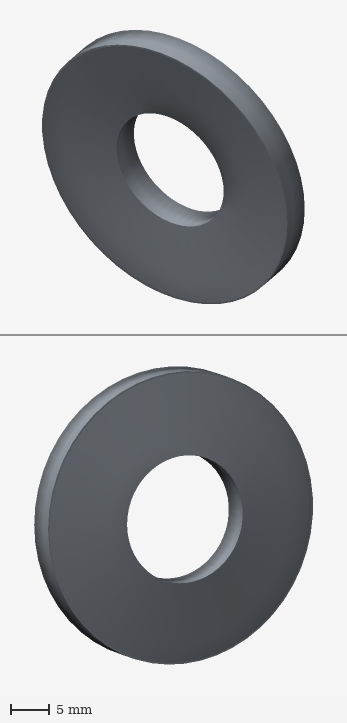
import cadquery as cq

outer_diameter = 39.0
hole_diameter = 17.0
overall_height = 5.25
thickness = 4.0
seat_width = 0.25

outer_radius = outer_diameter / 2
hole_radius = hole_diameter / 2
seat_radius = outer_radius - seat_width
dish_depth = overall_height - thickness
front_face = -overall_height / 2
back_face = overall_height / 2

section = [
    (outer_radius, front_face),
    (outer_radius, front_face + thickness),
    (seat_radius, front_face + thickness),
    (hole_radius, back_face),
    (hole_radius, front_face + dish_depth),
    (seat_radius, front_face),
]

result = (
    cq.Workplane("XY")
    .polyline(section)
    .close()
    .revolve(360, (0, 0, 0), (0, 1, 0))
)